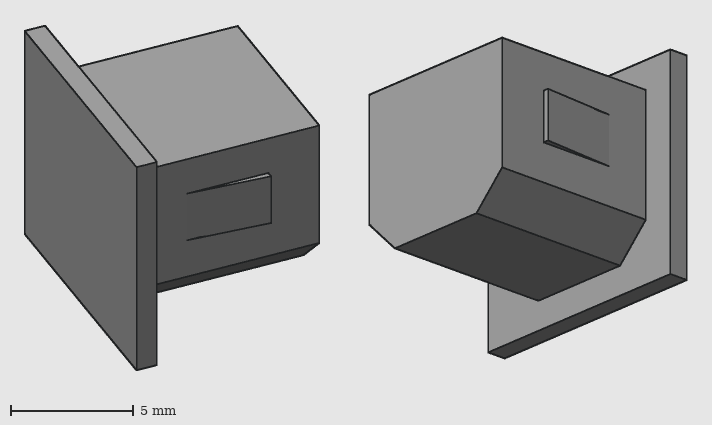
import cadquery as cq

PLATE_WIDTH = 11.0
PLATE_HEIGHT = 10.0
PLATE_THICKNESS = 0.92

BODY_WIDTH = 8.03
BODY_HEIGHT = 7.33
BODY_LENGTH = 7.98
LOWER_CHAMFER = 1.55

WEDGE_LENGTH = 3.63
WEDGE_HEIGHT = 2.3
WEDGE_PROJECTION = 0.27
WEDGE_BACK_SETBACK = 2.3
WEDGE_CENTER_Z = 0.82

BODY_BACK_Y = PLATE_THICKNESS + BODY_LENGTH


def make_plate():
    return cq.Workplane("XY").box(
        PLATE_WIDTH, PLATE_THICKNESS, PLATE_HEIGHT, centered=(True, False, True)
    )


def make_body():
    """Block with both lower edges chamfered at 45 degrees along its length."""
    half_width = BODY_WIDTH / 2
    half_height = BODY_HEIGHT / 2
    floor_half_width = half_width - LOWER_CHAMFER
    chamfer_top_z = -half_height + LOWER_CHAMFER
    outline = [
        (-half_width, half_height),
        (half_width, half_height),
        (half_width, chamfer_top_z),
        (floor_half_width, -half_height),
        (-floor_half_width, -half_height),
        (-half_width, chamfer_top_z),
    ]
    return (
        cq.Workplane("XZ", origin=(0, PLATE_THICKNESS, 0))
        .polyline(outline)
        .close()
        .extrude(-BODY_LENGTH)
    )


def make_wedges():
    """One bar through the body whose tapered ends form both wedges."""
    half_width = BODY_WIDTH / 2
    tip_x = half_width + WEDGE_PROJECTION
    back_y = BODY_BACK_Y - WEDGE_BACK_SETBACK
    front_y = back_y - WEDGE_LENGTH
    outline = [
        (-half_width, front_y),
        (half_width, front_y),
        (tip_x, back_y),
        (-tip_x, back_y),
    ]
    return (
        cq.Workplane("XY", origin=(0, 0, WEDGE_CENTER_Z - WEDGE_HEIGHT / 2))
        .polyline(outline)
        .close()
        .extrude(WEDGE_HEIGHT)
    )


result = make_plate().union(make_body()).union(make_wedges())